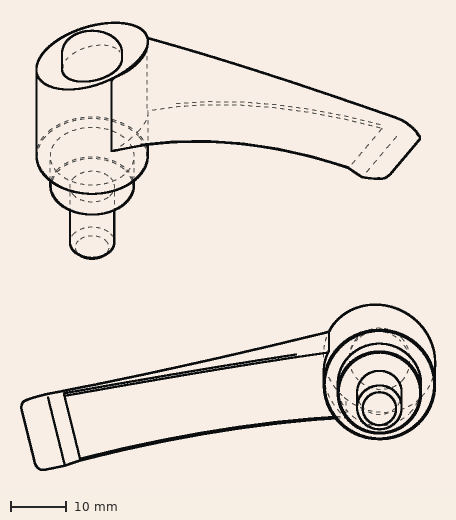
import math

import cadquery as cq


screw_dia = 8.0
screw_length = 15.0
screw_tip_inset = 1.0
screw_tip_height = 1.2

collar_dia = 15.0
collar_height = 7.5
hub_dia = 20.0
hub_radius = hub_dia / 2
blank_top = 45.0
rim_chamfer = 0.2

dish_apex_x = 3.0
dish_apex_z = 29.35
dish_tilt_deg = 24.9
dish_slope_deg = 20.9
dish_height = 25.0

button_dia = 10.75
button_top = 33.95
button_edge_radius = 1.0

arm_root_x = 6.0
arm_top_root = (arm_root_x, 35.25)
arm_top_mid = (34.0, 39.5)
arm_top_end = (59.5, 40.97)
arm_tip = (64.74, 38.15)
arm_tip_underside = (62.6, 36.9)
arm_heel = (59.5, 35.75)
arm_notch = (56.6, 36.5)
arm_bottom_mid = (29.7, 29.65)
arm_bottom_root = (arm_root_x, 16.1)

arm_root_half_width = 6.45
arm_waist_x = 33.0
arm_waist_half_width = 5.85
arm_end_half_width = 6.67

arm_fillet_at_root = 0.7
arm_fillet_at_tip = 1.65
arm_bottom_fillet = 0.4


def cylinder(diameter, bottom, top):
    return cq.Workplane("XY").workplane(offset=bottom).circle(diameter / 2).extrude(top - bottom)


def make_screw():
    screw = cylinder(screw_dia, -screw_length, collar_height)
    return screw.faces("<Z").chamfer(screw_tip_height, screw_tip_inset)


def make_collar():
    return cylinder(collar_dia, 0, collar_height).faces("<Z").chamfer(rim_chamfer)


def make_hub():
    return cylinder(hub_dia, collar_height, blank_top).faces("<Z").chamfer(rim_chamfer)


def make_dish_cutter():
    """Everything above the tilted cone, limited to the hub's cylinder."""
    cone_radius = dish_height / math.tan(math.radians(dish_slope_deg))
    cone = (
        cq.Workplane("XZ")
        .polyline([(0, 0), (cone_radius, dish_height), (0, dish_height)])
        .close()
        .revolve(360, (0, 0, 0), (0, 1, 0))
        .rotate((0, 0, 0), (0, 1, 0), -dish_tilt_deg)
        .translate((dish_apex_x, 0, dish_apex_z))
    )
    return cone.intersect(cylinder(hub_dia, collar_height, blank_top))


def make_button():
    button = cylinder(button_dia, collar_height, button_top)
    return button.faces(">Z").edges().fillet(button_edge_radius)


def make_arm_blank():
    """Side outline of the arm, trimmed by its waisted plan outline."""
    side = (
        cq.Workplane("XZ")
        .moveTo(*arm_top_root)
        .threePointArc(arm_top_mid, arm_top_end)
        .tangentArcPoint(arm_tip, relative=False)
        .threePointArc(arm_tip_underside, arm_heel)
        .lineTo(*arm_notch)
        .threePointArc(arm_bottom_mid, arm_bottom_root)
        .close()
        .extrude(hub_radius, both=True)
    )
    tip_x = arm_tip[0]
    plan = (
        cq.Workplane("XY")
        .moveTo(arm_root_x, -arm_root_half_width)
        .threePointArc((arm_waist_x, -arm_waist_half_width), (tip_x, -arm_end_half_width))
        .lineTo(tip_x, arm_end_half_width)
        .threePointArc((arm_waist_x, arm_waist_half_width), (arm_root_x, arm_root_half_width))
        .close()
        .extrude(blank_top)
    )
    return side.intersect(plan)


def is_long_side_edge(edge):
    """True for the edges along the two flanks, clear of the root face."""
    centre = edge.Center()
    return abs(centre.y) > arm_waist_half_width / 2 and centre.x > arm_root_x + arm_bottom_fillet


def make_arm():
    """The crest fillet grows from root to tip, so it uses the variable-radius fillet builder."""
    blank = make_arm_blank().val()
    builder = cq.occ_impl.shapes.BRepFilletAPI_MakeFillet(blank.wrapped)
    for edge in filter(is_long_side_edge, blank.Edges()):
        centre = edge.Center()
        on_crest = centre.z > arm_tip[1]
        if on_crest and centre.x < arm_notch[0]:
            builder.Add(arm_fillet_at_root, arm_fillet_at_tip, edge.wrapped)
        elif not on_crest:
            builder.Add(arm_bottom_fillet, edge.wrapped)
    return cq.Workplane(cq.Shape.cast(builder.Shape()))


result = (
    make_hub()
    .union(make_arm())
    .cut(make_dish_cutter())
    .union(make_collar())
    .union(make_screw())
    .union(make_button())
)